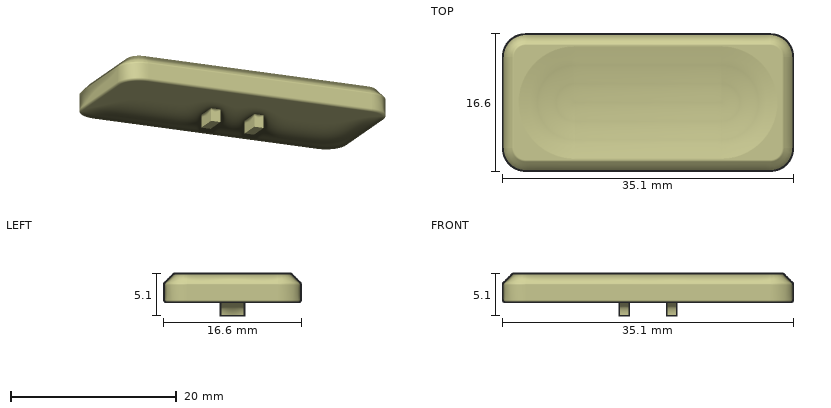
import cadquery as cq

length = 35.1
width = 16.55
body_height = 3.5
corner_radius = 2.77
chamfer_size = 1.23
edge_radius = 0.3

dish_rim_radius = 6.77
dish_depth = 0.8
dish_end_spacing = 17.7

leg_height = 1.6
leg_thickness = 1.23
leg_width = 2.9
leg_spacing = 5.72


def cap_body():
    """Rounded slab with a chamfered top and softened horizontal edges."""
    foot_height = body_height - chamfer_size
    body = cq.Workplane("XY").box(length, width, body_height, centered=(True, True, False))
    body = body.edges("|Z").fillet(corner_radius)
    body = body.faces(">Z").edges().chamfer(chamfer_size)
    body = body.faces("<Z").edges().fillet(edge_radius)
    chamfer_rims = body.faces(">Z").edges().add(
        body.edges(cq.selectors.BoxSelector(
            (-length, -width, foot_height - edge_radius),
            (length, width, foot_height + edge_radius),
        ))
    )
    return chamfer_rims.fillet(edge_radius)


def finger_dish():
    """Cutter for the dish, flush with the top face."""
    sphere_radius = (dish_rim_radius**2 + dish_depth**2) / (2 * dish_depth)
    end_offset = dish_end_spacing / 2
    cutter = (
        cq.Workplane("YZ", origin=(-end_offset, 0, 0))
        .moveTo(-dish_rim_radius, body_height)
        .threePointArc((0, body_height - dish_depth), (dish_rim_radius, body_height))
        .close()
        .extrude(dish_end_spacing)
    )
    for x in (-end_offset, end_offset):
        end_cap = (
            cq.Workplane("XZ", origin=(x, 0, 0))
            .moveTo(0, body_height - dish_depth)
            .radiusArc((dish_rim_radius, body_height), -sphere_radius)
            .lineTo(0, body_height)
            .close()
            .revolve(360, (0, 0), (0, 1))
        )
        cutter = cutter.union(end_cap)
    return cutter


def legs():
    """Pair of rectangular legs, rooted in the underside of the body."""
    return (
        cq.Workplane("XY", origin=(0, 0, -leg_height))
        .rarray(leg_spacing, 0.35, 2, 1)
        .rect(leg_thickness, leg_width)
        .extrude(leg_height)
    )


def dished_body():
    """Body with the dish sunk into its top and the dish rim rounded over."""
    body = cap_body().cut(finger_dish())
    dish_rim = body.faces(">Z").val().innerWires()[0]
    return body.newObject(dish_rim.Edges()).fillet(edge_radius)


result = dished_body().union(legs())